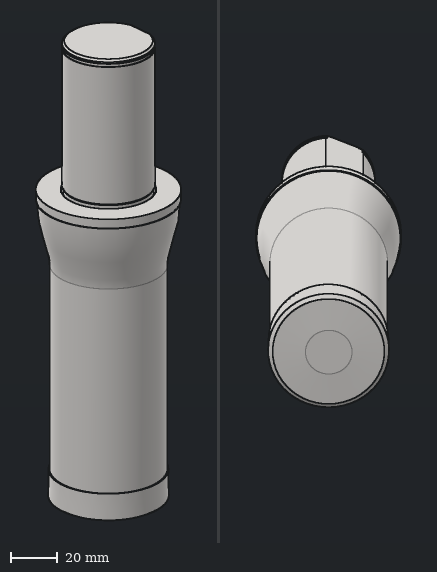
import cadquery as cq
import math

total_height = 216.0

body_diameter = 50.6
flange_diameter = 62.5
flange_thickness = 4.5
flange_top = 146.0
flange_bottom = flange_top - flange_thickness

flare_bottom = 110.5
flare_angle = math.radians(15.0)
flare_lower_blend = 5.2
flare_upper_blend = 15.4

foot_top = 14.0
foot_top_diameter = 51.6
foot_bottom_diameter = 52.0
foot_edge_height = 1.7
foot_edge_width = 2.0
base_diameter = 20.0
base_rise = 0.6

recess_diameter = 41.0
recess_depth = 1.5
recess_floor = flange_top - recess_depth

rod_diameter = 39.99
neck_diameter = 39.0
rod_chamfer = 1.0
groove_diameter = 39.5
groove_upper_edge = total_height - 1.9
groove_lower_edge = total_height - 3.4
shoulder_bottom = flange_top + 1.2
shoulder_height = 0.7
flat_offset = 18.0
flat_bottom = flange_top + 4.2


def make_housing():
    body_radius = body_diameter / 2
    flange_radius = flange_diameter / 2
    recess_radius = recess_diameter / 2
    foot_bottom_radius = foot_bottom_diameter / 2

    cone_start = flare_bottom + flare_lower_blend
    cone_end = flange_bottom - flare_upper_blend
    cone_start_radius = body_radius + flare_lower_blend * math.tan(flare_angle / 2)
    cone_end_radius = cone_start_radius + (cone_end - cone_start) * math.tan(flare_angle)
    flare_top_radius = cone_end_radius + flare_upper_blend * math.tan(flare_angle / 2)
    flare_points = [
        (cone_start_radius, cone_start),
        (cone_end_radius, cone_end),
        (flare_top_radius, flange_bottom),
    ]

    profile = (
        cq.Workplane("XZ")
        .lineTo(base_diameter / 2, 0)
        .lineTo(foot_bottom_radius - foot_edge_width, base_rise)
        .lineTo(foot_bottom_radius, foot_edge_height)
        .lineTo(foot_top_diameter / 2, foot_top)
        .lineTo(body_radius, foot_top)
        .lineTo(body_radius, flare_bottom)
        .spline(flare_points, tangents=[(0, 1), (0, 1)], includeCurrent=True)
        .lineTo(flange_radius, flange_bottom)
        .lineTo(flange_radius, flange_top)
        .lineTo(recess_radius, flange_top)
        .lineTo(recess_radius, recess_floor)
        .lineTo(0, recess_floor)
        .close()
    )
    return profile.revolve(360, (0, 0), (0, 1))


def make_rod():
    rod_radius = rod_diameter / 2
    neck_radius = neck_diameter / 2
    groove_radius = groove_diameter / 2

    shaft = (
        cq.Workplane("XZ")
        .moveTo(0, recess_floor)
        .lineTo(neck_radius, recess_floor)
        .lineTo(neck_radius, shoulder_bottom)
        .lineTo(rod_radius, shoulder_bottom + shoulder_height)
        .lineTo(rod_radius, groove_lower_edge)
        .lineTo(groove_radius, groove_lower_edge)
        .lineTo(groove_radius, groove_upper_edge)
        .lineTo(rod_radius, groove_upper_edge)
        .lineTo(rod_radius, total_height - rod_chamfer)
        .lineTo(rod_radius - rod_chamfer, total_height)
        .lineTo(0, total_height)
        .close()
        .revolve(360, (0, 0), (0, 1))
    )

    flat_cutter = (
        cq.Workplane("XY", origin=(0, flat_offset, flat_bottom))
        .box(rod_diameter, rod_diameter, total_height - flat_bottom, centered=(True, False, False))
    )
    return shaft.cut(flat_cutter)


housing = make_housing()
rod = make_rod()
result = cq.Compound.makeCompound([housing.val(), rod.val()])